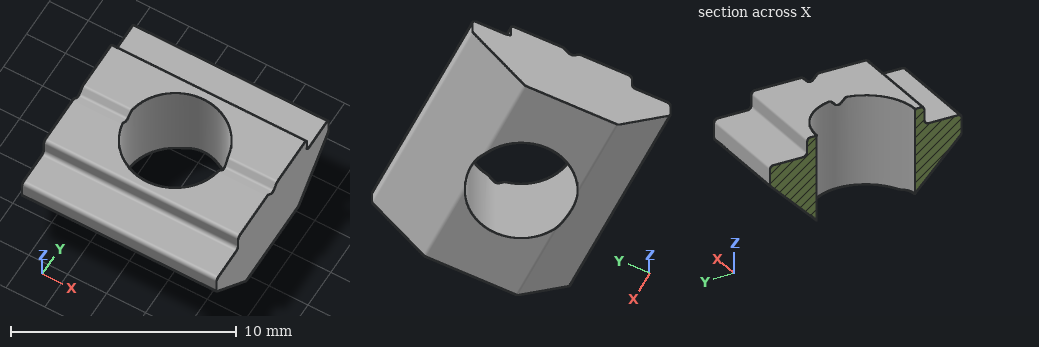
import cadquery as cq

length = 10.0
width = 9.8
height = 4.5

rib_width = 6.0
rib_height = 0.9
shoulder_z = height - rib_height

flank_drop = 2.6
base_width = width - 2 * flank_drop

groove_width = 0.8
groove_depth = groove_width / 2

edge_radius = 0.2

hole_diameter = 5.0


def make_body():
    """Extrude the T-nut section along X, without the groove."""
    right_half = [
        (base_width / 2, 0),
        (width / 2, flank_drop),
        (width / 2, shoulder_z),
        (rib_width / 2, shoulder_z),
        (rib_width / 2, height),
    ]
    left_half = [(-y, z) for y, z in reversed(right_half)]
    section = cq.Workplane("YZ").polyline(right_half + left_half).close()
    return section.extrude(length / 2, both=True)


def cut_groove(body):
    """Cut the V groove along the middle of the rib."""
    groove = (
        cq.Workplane("YZ")
        .moveTo(-groove_width / 2, height)
        .lineTo(0, height - groove_depth)
        .lineTo(groove_width / 2, height)
        .close()
        .extrude(length / 2, both=True)
    )
    return body.cut(groove)


def round_edges(body):
    """Round every lengthwise edge, inside corners included."""
    return body.edges("|X").fillet(edge_radius)


def cut_hole(body):
    """Bore the hole through the full height at the centre."""
    bore = cq.Workplane("XY").circle(hole_diameter / 2).extrude(height)
    return body.cut(bore)


result = cut_hole(round_edges(cut_groove(make_body())))